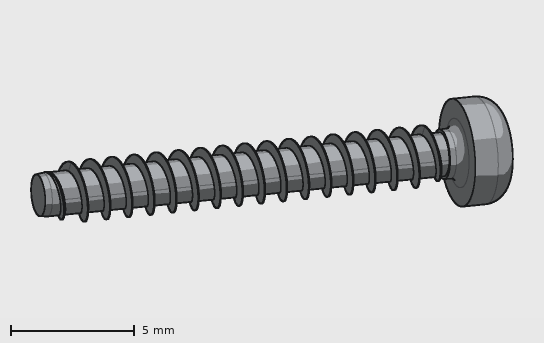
import math

import cadquery as cq

TOTAL_LENGTH = 19.9

HEAD_DIAMETER = 4.4
HEAD_HEIGHT = 1.9
DOME_RADIUS = 0.92

NECK_RADIUS = 1.01
NECK_LENGTH = 0.65
NECK_FILLET = 0.4

CORE_RADIUS = 0.9
TIP_CHAMFER_RADIAL = 0.04
TIP_CHAMFER_LENGTH = 0.28

THREAD_RADIUS = 1.25
CREST_WIDTH = 0.04
ROOT_WIDTH = 0.28
FULL_THREAD_TOP = -1.37
FULL_THREAD_LENGTH = 15.2
FULL_TURNS = 16
HEAD_FADE_TURNS = 1.0
TIP_FADE_TURNS = 1.25

BASE_DEPTH = 0.1
END_DEPTH = 0.04

POINTS_PER_TURN = 24

head_radius = HEAD_DIAMETER / 2
tip_y = HEAD_HEIGHT - TOTAL_LENGTH
pitch = FULL_THREAD_LENGTH / FULL_TURNS
full_thread_bottom = FULL_THREAD_TOP - FULL_THREAD_LENGTH


def make_blank():
    """Head, neck and unthreaded core as one turned profile."""
    return (
        cq.Workplane("XY")
        .moveTo(0, HEAD_HEIGHT)
        .lineTo(head_radius - DOME_RADIUS, HEAD_HEIGHT)
        .radiusArc((head_radius, HEAD_HEIGHT - DOME_RADIUS), DOME_RADIUS)
        .lineTo(head_radius, 0)
        .lineTo(NECK_RADIUS + NECK_FILLET, 0)
        .radiusArc((NECK_RADIUS, -NECK_FILLET), -NECK_FILLET)
        .lineTo(NECK_RADIUS, -NECK_LENGTH)
        .lineTo(CORE_RADIUS, -NECK_LENGTH)
        .lineTo(CORE_RADIUS, tip_y + TIP_CHAMFER_LENGTH)
        .lineTo(CORE_RADIUS - TIP_CHAMFER_RADIAL, tip_y)
        .lineTo(0, tip_y)
        .close()
        .revolve(360, (0, 0, 0), (0, 1, 0))
    )


def helix_edge(start, end):
    """Right-handed helical edge about Y between two (turns, radius, axial offset) corners.

    Turns are counted toward the head from the lower end of the full-depth thread, on the +Z side.
    """
    count = math.ceil((end[0] - start[0]) * POINTS_PER_TURN)
    points = []
    for i in range(count + 1):
        turns, radius, offset = (a + (b - a) * i / count for a, b in zip(start, end))
        angle = 2 * math.pi * turns
        y = full_thread_bottom + turns * pitch + offset
        points.append(cq.Vector(radius * math.sin(angle), y, radius * math.cos(angle)))
    return cq.Edge.makeSpline(points)


def tooth_corners(turns, crest_radius):
    """Four corners of the tooth section at one place along the thread."""
    flank_slope = (ROOT_WIDTH - CREST_WIDTH) / 2 / (THREAD_RADIUS - CORE_RADIUS)
    base_radius = CORE_RADIUS - BASE_DEPTH
    base_half = ROOT_WIDTH / 2 + BASE_DEPTH * flank_slope
    crest_half = CREST_WIDTH / 2
    return [
        (turns, base_radius, -base_half),
        (turns, crest_radius, -crest_half),
        (turns, crest_radius, crest_half),
        (turns, base_radius, base_half),
    ]


def make_thread():
    """Helical ridge whose crest rises out of the core and sinks back into it."""
    buried_radius = CORE_RADIUS - END_DEPTH
    stations = [
        tooth_corners(-TIP_FADE_TURNS, buried_radius),
        tooth_corners(0, THREAD_RADIUS),
        tooth_corners(FULL_TURNS, THREAD_RADIUS),
        tooth_corners(FULL_TURNS + HEAD_FADE_TURNS, buried_radius),
    ]
    rails = [
        [helix_edge(start, end) for start, end in zip(lower, upper)]
        for lower, upper in zip(stations, stations[1:])
    ]
    faces = []
    for edges in rails:
        for edge, next_edge in zip(edges, edges[1:] + edges[:1]):
            faces.append(cq.Face.makeRuledSurface(edge, next_edge))
    tip_corners = [edge.startPoint() for edge in rails[0]]
    head_corners = [edge.endPoint() for edge in rails[-1]]
    for corners in (tip_corners, head_corners):
        faces.append(cq.Face.makeFromWires(cq.Wire.makePolygon(corners, close=True)))
    return cq.Solid.makeSolid(cq.Shell.makeShell(faces))


result = make_blank().union(cq.Workplane(make_thread()))